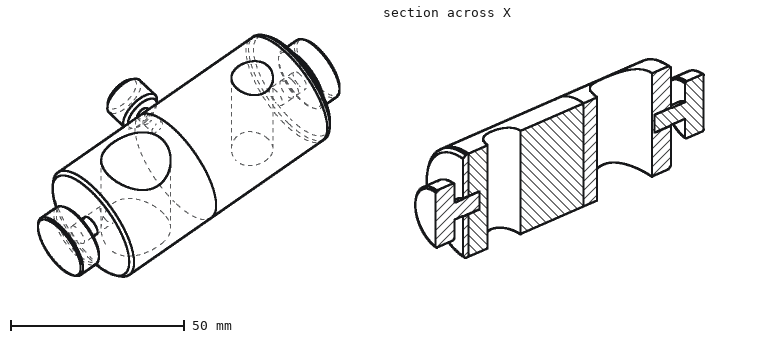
import cadquery as cq


total_length = 98.0

body_diameter = 36.0
front_length = 32.0
cap_thickness = 2.0
rim_chamfer = 1.0

front_bore_diameter = 20.0
rear_bore_diameter = 12.0
bore_inset = 15.0

end_knob_diameter = 20.0
end_knob_length = 7.0
end_knob_chamfer = 0.5
end_shank_diameter = 6.0
end_shank_depth = end_shank_diameter
front_gap = 5.0
rear_gap = 3.0

side_knob_diameter = 12.8
side_knob_length = 9.0
side_knob_chamfer = 1.0
side_shank_diameter = 4.0
side_shank_depth = side_shank_diameter
side_gap = 2.5
side_screw_y = 5.0

body_radius = body_diameter / 2
body_length = total_length - 2 * end_knob_length - front_gap - rear_gap
front_end_y = -front_length
rear_end_y = body_length - front_length
cap_joint_y = rear_end_y - cap_thickness
front_bore_y = -bore_inset
rear_bore_y = rear_end_y - bore_inset


def cylinder_along_y(diameter, start_y, end_y):
    """Solid cylinder on the Y axis between two Y positions."""
    start_plane = cq.Plane(origin=(0, start_y, 0), xDir=(1, 0, 0), normal=(0, 1, 0))
    return cq.Workplane(start_plane).circle(diameter / 2).extrude(end_y - start_y)


def rod_bore(diameter, y):
    """Vertical cutter that passes through the whole body."""
    return (
        cq.Workplane("XY", origin=(0, y, 0))
        .circle(diameter / 2)
        .extrude(body_radius, both=True)
    )


def thumb_screw(seat, outward, gap, depth, shank_diameter, knob_diameter, knob_length, knob_chamfer):
    """Screw whose knob stands a gap outside the seat point and whose shank goes a depth inside it."""
    seat_plane = cq.Plane(origin=seat, xDir=(0, 0, 1), normal=outward)
    shank = (
        cq.Workplane(seat_plane)
        .workplane(offset=-depth)
        .circle(shank_diameter / 2)
        .extrude(depth + gap)
    )
    knob = (
        cq.Workplane(seat_plane)
        .workplane(offset=gap)
        .circle(knob_diameter / 2)
        .extrude(knob_length)
        .edges()
        .chamfer(knob_chamfer)
    )
    return shank.union(knob)


def end_screw(end_y, direction, gap):
    """Thumb screw on the Y axis, pointing out of one end of the body."""
    return thumb_screw(
        (0, end_y, 0),
        (0, direction, 0),
        gap,
        end_shank_depth,
        end_shank_diameter,
        end_knob_diameter,
        end_knob_length,
        end_knob_chamfer,
    )


def side_screw():
    """Smaller thumb screw that points out of the -X side of the rear housing."""
    return thumb_screw(
        (-body_radius, side_screw_y, 0),
        (-1, 0, 0),
        side_gap,
        side_shank_depth,
        side_shank_diameter,
        side_knob_diameter,
        side_knob_length,
        side_knob_chamfer,
    )


def front_housing(screw):
    """Housing with the large rod bore, a chamfered outer rim and a socket for its screw."""
    blank = cylinder_along_y(body_diameter, front_end_y, 0).faces("<Y").chamfer(rim_chamfer)
    return blank.cut(rod_bore(front_bore_diameter, front_bore_y)).cut(screw)


def rear_housing(screws):
    """Housing with the small rod bore and sockets for the rear and side screws."""
    housing = cylinder_along_y(body_diameter, 0, cap_joint_y)
    housing = housing.cut(rod_bore(rear_bore_diameter, rear_bore_y))
    for screw in screws:
        housing = housing.cut(screw)
    return housing


def end_cap(screw):
    """Disc on the rear housing with a chamfered outer rim, pierced by the rear screw."""
    disc = cylinder_along_y(body_diameter, cap_joint_y, rear_end_y).faces(">Y").chamfer(rim_chamfer)
    return disc.cut(screw)


front_clamp_screw = end_screw(front_end_y, -1, front_gap)
rear_clamp_screw = end_screw(rear_end_y, 1, rear_gap)
side_lock_screw = side_screw()

front = front_housing(front_clamp_screw)
rear = rear_housing([rear_clamp_screw, side_lock_screw])
cap = end_cap(rear_clamp_screw)

result = cq.Compound.makeCompound(
    [
        front.solids().val(),
        rear.solids().val(),
        cap.solids().val(),
        front_clamp_screw.solids().val(),
        rear_clamp_screw.solids().val(),
        side_lock_screw.solids().val(),
    ]
)